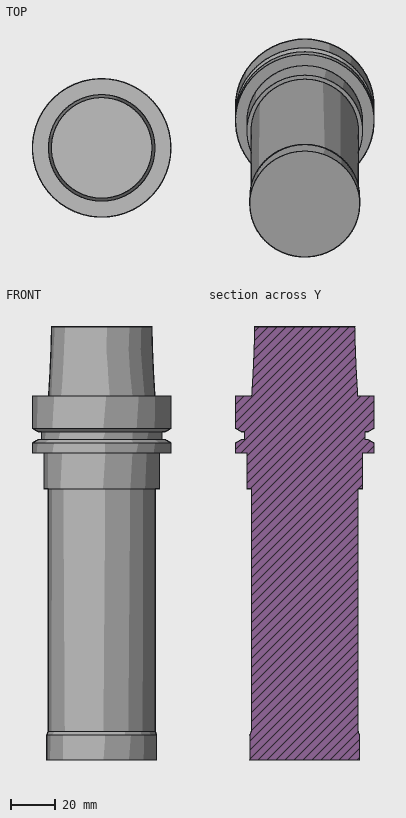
import cadquery as cq

cap_diameter = 50.0
body_diameter = 48.9
collar_diameter = 52.6
flange_diameter = 63.0
groove_ledge_diameter = 57.5
groove_diameter = 55.0
shank_base_diameter = 48.5
shank_middle_diameter = 46.7
shank_top_diameter = 45.7

cap_height = 11.5
cap_chamfer_height = 1.5
body_height = 110.3
collar_height = 16.2
lower_rim_height = 4.7
groove_slope_height = 1.5
groove_floor_height = 3.3
upper_rim_height = 14.8
total_height = 197.0

body_bottom = cap_height + cap_chamfer_height
collar_bottom = body_bottom + body_height
flange_bottom = collar_bottom + collar_height
groove_bottom = flange_bottom + lower_rim_height
groove_floor_bottom = groove_bottom + groove_slope_height
groove_floor_top = groove_floor_bottom + groove_floor_height
groove_top = groove_floor_top + groove_slope_height
shank_bottom = groove_top + upper_rim_height
shank_middle = (shank_bottom + total_height) / 2

profile = (
    cq.Workplane("XZ")
    .lineTo(cap_diameter / 2, 0)
    .lineTo(cap_diameter / 2, cap_height)
    .lineTo(body_diameter / 2, body_bottom)
    .lineTo(body_diameter / 2, collar_bottom)
    .lineTo(collar_diameter / 2, collar_bottom)
    .lineTo(collar_diameter / 2, flange_bottom)
    .lineTo(flange_diameter / 2, flange_bottom)
    .lineTo(flange_diameter / 2, groove_bottom)
    .lineTo(groove_ledge_diameter / 2, groove_floor_bottom)
    .lineTo(groove_diameter / 2, groove_floor_bottom)
    .lineTo(groove_diameter / 2, groove_floor_top)
    .lineTo(groove_ledge_diameter / 2, groove_floor_top)
    .lineTo(flange_diameter / 2, groove_top)
    .lineTo(flange_diameter / 2, shank_bottom)
    .lineTo(shank_base_diameter / 2, shank_bottom)
    .threePointArc(
        (shank_middle_diameter / 2, shank_middle),
        (shank_top_diameter / 2, total_height),
    )
    .lineTo(0, total_height)
    .close()
)

result = profile.revolve(360, (0, 0, 0), (0, 1, 0))